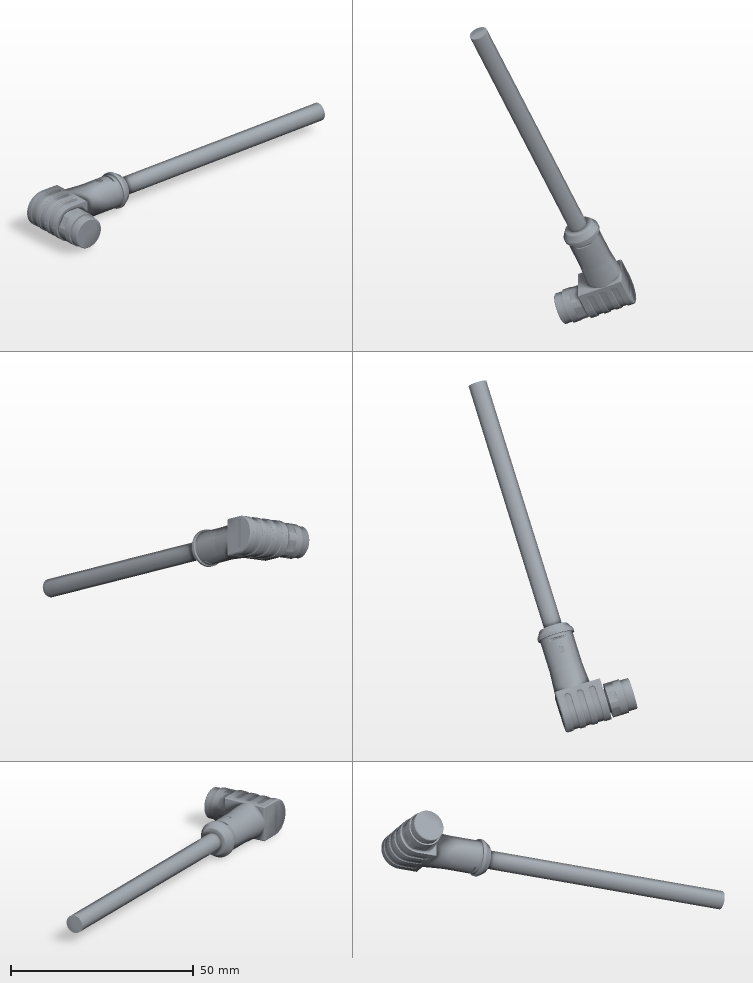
import cadquery as cq


total_width = 20.7
total_length = 100.3

body_diameter = 10.3
body_radius = body_diameter / 2
body_left = -body_radius
body_length = 12.9
body_right = body_left + body_length
body_back = 5.8
body_chamfer = 0.3

groove_count = 3
groove_width = 2
groove_depth = 0.3
groove_floor_chamfer = 0.2
groove_pitch = 3.5
groove_first_x = body_left + 3
groove_end_y = 4.4
groove_end_fillet = 0.9

slot_height = 0.3
slot_depth = 0.1

recess_width = 1.5
recess_height = 8.2
recess_depth = 0.1

neck_diameter = 6.5
nut_diameter = 9.6
tip_diameter = 8.8
tip_chamfer = 0.2
plug_end = body_left + total_width
nut_start = body_right + 0.6
nut_end = plug_end - 2.6
flat_count = 6
flat_length = 2.4
flat_distance = 4.5

cable_diameter = 5.1
cable_end = total_length - body_radius
boot_diameter = 9.3
boot_base_diameter = 10.2
boot_flare_end = 12.2
collar_diameter = body_diameter
collar_start = 21.3
collar_width = 0.9
cone_end_diameter = 7.9
cone_end_fillet = 0.5
cone_length = 1.9

notch_y = 20.1
notch_width = 0.6
notch_distance = 4
dot_diameter = 2
dot_y = 16.6
dot_depth = 0.3


def x_cylinder(diameter, start, end):
    """Cylinder on the plug axis between two X positions."""
    return cq.Workplane("YZ", origin=(start, 0, 0)).circle(diameter / 2).extrude(end - start)


def rounded_profile(start, end, radius, back):
    """Block running along X, half-round about the X axis at its front end."""
    return (
        cq.Workplane("YZ", origin=(start, 0, 0))
        .moveTo(back, -radius)
        .lineTo(0, -radius)
        .threePointArc((-radius, 0), (0, radius))
        .lineTo(back, radius)
        .close()
        .extrude(end - start)
    )


def groove(center_x):
    """U-shaped shallow band, open around the front and round-cornered at both ends."""
    start = center_x - groove_width / 2
    end = center_x + groove_width / 2
    outer = rounded_profile(start, end, body_radius + groove_depth, groove_end_y)
    outer = outer.edges("|Z and >Y").fillet(groove_end_fillet)
    floor_radius = body_radius - groove_depth
    band = outer.cut(rounded_profile(start, end, floor_radius, body_back))
    floor_edge = cq.NearestToPointSelector((start, 0, 0))
    return band.edges(floor_edge).chamfer(groove_floor_chamfer)


def make_body():
    body = rounded_profile(body_left, body_right, body_radius, body_back)
    body = body.faces("<X or >Y").edges("not(>X and >Y)").chamfer(body_chamfer)
    for index in range(groove_count):
        body = body.cut(groove(groove_first_x + index * groove_pitch))
    slot = cq.Workplane("XY", origin=(body_left, -body_radius, 0)).box(
        body_length, 2 * slot_depth, slot_height, centered=(False, True, True)
    )
    body = body.cut(slot)
    recess = cq.Workplane("YZ", origin=(body_left, 0, 0)).rect(recess_width, recess_height)
    return body.cut(recess.extrude(recess_depth))


def make_plug():
    neck = x_cylinder(neck_diameter, body_right, nut_start)
    nut = x_cylinder(nut_diameter, nut_start, nut_end)
    tip = x_cylinder(tip_diameter, nut_end, plug_end).faces(">X").chamfer(tip_chamfer)
    cutter = cq.Workplane("XY", origin=(nut_start, 0, flat_distance)).box(
        flat_length, nut_diameter, nut_diameter, centered=(False, True, False)
    )
    for index in range(flat_count):
        nut = nut.cut(cutter.rotate((0, 0, 0), (1, 0, 0), index * 360 / flat_count))
    return neck.union(nut).union(tip)


def make_boot_and_cable():
    cone_start = collar_start + collar_width
    cone_end = cone_start + cone_length
    boot_start = body_back - body_chamfer
    boot = (
        cq.Workplane("XY")
        .moveTo(0, boot_start)
        .lineTo(boot_base_diameter / 2, boot_start)
        .lineTo(boot_base_diameter / 2, body_back)
        .lineTo(boot_diameter / 2, boot_flare_end)
        .lineTo(boot_diameter / 2, collar_start)
        .lineTo(collar_diameter / 2, collar_start)
        .lineTo(collar_diameter / 2, cone_start)
        .lineTo(cone_end_diameter / 2, cone_end)
        .lineTo(cable_diameter / 2, cone_end)
        .lineTo(cable_diameter / 2, cable_end)
        .lineTo(0, cable_end)
        .close()
        .revolve(360, (0, 0, 0), (0, 1, 0))
    )
    cone_rim = cq.NearestToPointSelector((cone_end_diameter / 2, cone_end, 0))
    boot = boot.edges("%CIRCLE").edges(cone_rim).fillet(cone_end_fillet)
    notch_height = boot_diameter / 2 - notch_distance
    for side in (1, -1):
        notch = cq.Workplane("XY", origin=(0, notch_y, side * (notch_distance + notch_height / 2)))
        boot = boot.cut(notch.box(boot_diameter, notch_width, notch_height))
    dot_floor = boot_diameter / 2 - dot_depth
    dot = cq.Workplane("XY", origin=(0, dot_y, dot_floor)).circle(dot_diameter / 2)
    return boot.cut(dot.extrude(boot_diameter / 2))


result = make_body().union(make_plug()).union(make_boot_and_cable())